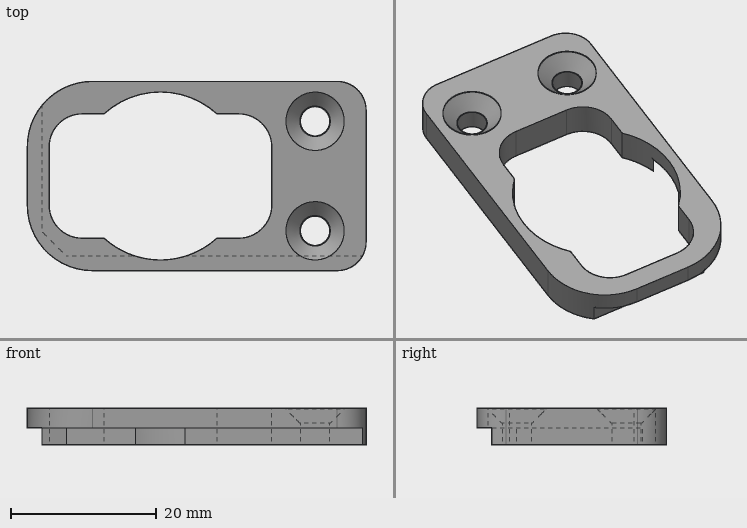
import cadquery as cq

length = 46.5
width = 26.0
height = 5.0
left_corner_radius = 8.97
right_corner_radius = 4.0

step_height = 2.32
step_inset = 2.0
step_chamfer = 3.4

opening_length = 30.5
opening_width = 17.0
opening_corner_radius = 4.5
opening_circle_diameter = 23.0
opening_left_margin = 3.0

screw_hole_diameter = 4.0
countersink_diameter = 8.0
countersink_rim_depth = 0.15
countersink_floor_diameter = 4.2
countersink_cone_depth = (countersink_diameter - countersink_floor_diameter) / 2
screw_hole_spacing = 15.0
screw_hole_right_margin = 7.0

left = -length / 2
right = length / 2
front = -width / 2
back = width / 2


def make_plate():
    plate = cq.Workplane("XY").box(length, width, height, centered=(True, True, False))
    plate = plate.edges("|Z and <X").fillet(left_corner_radius)
    return plate.edges("|Z and >X").fillet(right_corner_radius)


def make_edge_step():
    """Material removed below the overhanging left and front edges."""
    inner_left = left + step_inset
    inner_front = front + step_inset
    outline = [
        (left, back),
        (left, front),
        (right, front),
        (right, inner_front),
        (inner_left + step_chamfer, inner_front),
        (inner_left, inner_front + step_chamfer),
        (inner_left, back),
    ]
    return cq.Workplane("XY").polyline(outline).close().extrude(step_height)


def make_opening():
    center_x = left + opening_left_margin + opening_length / 2
    base = cq.Workplane("XY").center(center_x, 0)
    rectangle = base.rect(opening_length, opening_width).extrude(height)
    rectangle = rectangle.edges("|Z").fillet(opening_corner_radius)
    circle = base.circle(opening_circle_diameter / 2).extrude(height)
    return rectangle.union(circle)


def make_screw_hole():
    """Through hole with a conical seat below a short straight rim and a narrow ledge at its foot."""
    hole_radius = screw_hole_diameter / 2
    floor_radius = countersink_floor_diameter / 2
    rim_radius = countersink_diameter / 2
    cone_top = height - countersink_rim_depth
    cone_bottom = cone_top - countersink_cone_depth
    profile = [
        (0, 0),
        (hole_radius, 0),
        (hole_radius, cone_bottom),
        (floor_radius, cone_bottom),
        (rim_radius, cone_top),
        (rim_radius, height),
        (0, height),
    ]
    return cq.Workplane("XZ").polyline(profile).close().revolve(360, (0, 0, 0), (0, 1, 0))


def cut_screw_holes(plate):
    hole_x = right - screw_hole_right_margin
    for hole_y in (-screw_hole_spacing / 2, screw_hole_spacing / 2):
        plate = plate.cut(make_screw_hole().translate((hole_x, hole_y, 0)))
    return plate


result = make_plate().cut(make_edge_step()).cut(make_opening())
result = cut_screw_holes(result)